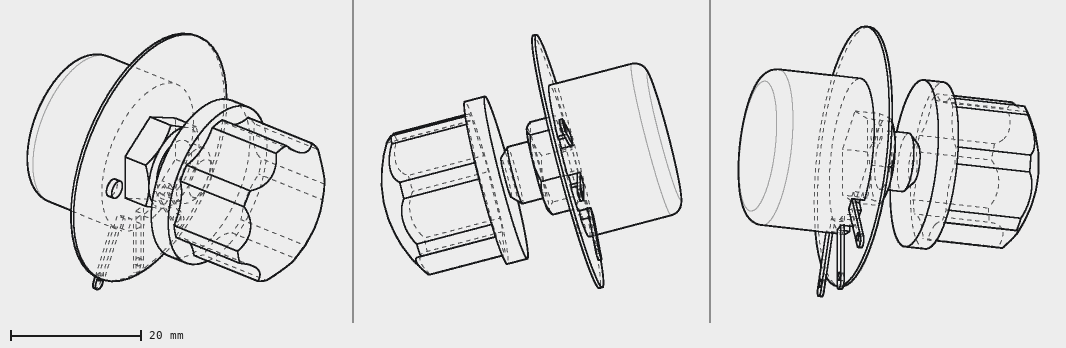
import cadquery as cq
import math


can_radius = 12.0
can_length = 15.0
can_edge_radius = 2.0

plate_radius = 20.0
plate_thickness = 0.5
plate_front = can_length + plate_thickness
pin_radius = 1.4
pin_height = 1.0
pin_offset = 10.0

terminal_width = 2.0
terminal_thickness = 0.5
terminal_back = 13.0
terminal_tip_radius = 22.0
terminal_root_radius = 10.0
terminal_hole_radius = 20.0
terminal_hole_diameter = 1.2
terminal_angles = (-30.0, 0.0, 30.0)
slot_length = can_length - terminal_back

nut_sides = 6
nut_across_flats = 13.1
nut_corner_diameter = nut_across_flats / math.cos(math.pi / nut_sides)
nut_height = 4.5
nut_front = plate_front + nut_height
nut_chamfer_angle = 30.0

flange_radius = 12.85
flange_back = 25.0
flange_thickness = 3.2
grip_back = flange_back + flange_thickness
grip_radius = 11.4
dome_start = 40.2
dome_radius = 18.5
dome_height = dome_radius - math.sqrt(dome_radius**2 - grip_radius**2)
knob_front = dome_start + dome_height
scallop_count = 7
scallop_pitch = 360.0 / scallop_count
scallop_half_angle = 19.1
scallop_floor_radius = 9.8

cut_overrun = 1.0

bushing_radius = 4.5
bushing_chamfer = 1.4


def cylinder(radius, start, length):
    """Cylinder about the X axis."""
    return cq.Workplane("YZ").workplane(offset=start).circle(radius).extrude(length)


def make_can():
    return cylinder(can_radius, 0, can_length).faces("<X").edges().fillet(can_edge_radius)


def make_plate():
    plate = cylinder(plate_radius, can_length, plate_thickness)
    pin = cylinder(pin_radius, can_length, plate_thickness + pin_height)
    return plate.union(pin.translate((0, -pin_offset, 0)))


def turn_about_axis(body, angle):
    return body.rotate((0, 0, 0), (1, 0, 0), angle)


def make_terminal():
    """Flat tag pointing down (-Z), with a round tip and a wire hole."""
    half_width = terminal_width / 2
    tip_center = terminal_tip_radius - half_width
    return (
        cq.Workplane("YZ")
        .workplane(offset=terminal_back)
        .moveTo(-half_width, -terminal_root_radius)
        .lineTo(-half_width, -tip_center)
        .threePointArc((0, -terminal_tip_radius), (half_width, -tip_center))
        .lineTo(half_width, -terminal_root_radius)
        .close()
        .moveTo(0, -terminal_hole_radius)
        .circle(terminal_hole_diameter / 2)
        .extrude(terminal_thickness)
    )


def make_terminal_slot():
    """Opening in the can wall that a terminal comes out of."""
    return (
        cq.Workplane("YZ")
        .workplane(offset=terminal_back)
        .center(0, -(terminal_root_radius + can_radius) / 2)
        .rect(terminal_width, can_radius - terminal_root_radius)
        .extrude(slot_length)
    )


def make_nut():
    """Hexagon with corners at +Z and -Z, and its front corners turned off by a cone."""
    corner_radius = nut_corner_diameter / 2
    flat_radius = nut_across_flats / 2
    chamfer_length = (corner_radius - flat_radius) * math.tan(math.radians(nut_chamfer_angle))
    hexagon = (
        cq.Workplane("YZ")
        .workplane(offset=plate_front)
        .polygon(nut_sides, nut_corner_diameter)
        .extrude(nut_height)
    )
    hexagon = turn_about_axis(hexagon, 90)
    turned_blank = (
        cq.Workplane("XZ")
        .moveTo(plate_front, 0)
        .lineTo(plate_front, corner_radius)
        .lineTo(nut_front - chamfer_length, corner_radius)
        .lineTo(nut_front, flat_radius)
        .lineTo(nut_front, 0)
        .close()
        .revolve(360, (0, 0, 0), (1, 0, 0))
    )
    return hexagon.intersect(turned_blank)


def make_bushing():
    bushing = cylinder(bushing_radius, plate_front, flange_back - plate_front)
    return bushing.faces(">X").edges().chamfer(bushing_chamfer)


def make_scallop_cutter():
    """Round bar along X that cuts the scallop centred on -Z."""
    half_chord = grip_radius * math.sin(math.radians(scallop_half_angle))
    chord_distance = grip_radius * math.cos(math.radians(scallop_half_angle))
    sag = chord_distance - scallop_floor_radius
    cutter_radius = (half_chord**2 + sag**2) / (2 * sag)
    cutter = cylinder(cutter_radius, grip_back, knob_front + cut_overrun - grip_back)
    return cutter.translate((0, 0, -(scallop_floor_radius + cutter_radius)))


def make_knob():
    """Scalloped grip with a spherical end, on a round flange."""
    ball = cq.Workplane("XY").sphere(dome_radius).rotate((0, 0, 0), (0, 0, 1), 180)
    ball = ball.translate((knob_front - dome_radius, 0, 0))
    grip_blank_length = knob_front + cut_overrun - grip_back
    grip = cylinder(grip_radius, grip_back, grip_blank_length).intersect(ball)
    cutter = make_scallop_cutter()
    for index in range(scallop_count):
        grip = grip.cut(turn_about_axis(cutter, index * scallop_pitch))
    return grip.union(cylinder(flange_radius, flange_back, flange_thickness))


result = make_can()
for angle in terminal_angles:
    result = result.cut(turn_about_axis(make_terminal_slot(), angle))
    result = result.union(turn_about_axis(make_terminal(), angle))
for part in (make_plate(), make_nut(), make_bushing(), make_knob()):
    result = result.union(part)